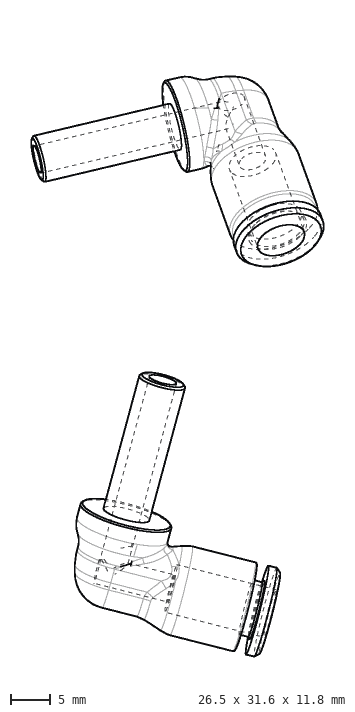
import cadquery as cq
import math


overall_length = 31.55

dome_radius = 4.5
dome_end_y = 1.1
taper_end_y = 0.1
sleeve_radius = 4.83
sleeve_start_y = -1.8
sleeve_end_y = -2.27
neck_bottom_y = -4.92

shoulder_radius = 11.8 / 2
shoulder_bend_y = -4.0
shoulder_rim_y = -5.8
shoulder_face_y = -7.82
shoulder_edge_chamfer = 0.22

body_radius = 11.5 / 2
flare_start_x = 5.0
flare_bend_x = 7.8
flare_bend_radius = 5.45
body_start_x = 9.1
body_end_x = 17.5
body_edge_fillet = 0.28

stem_radius = 5.95 / 2
stem_end_y = body_radius - overall_length
stem_chamfer = 0.28

collar_neck_radius = 7.1 / 2
collar_flare = 0.25
collar_start_x = 18.95
collar_end_x = 20.6
collar_chamfer_length = 0.57
collar_chamfer_depth = 0.5

passage_radius = 3.5 / 2
tube_radius = 6.15 / 2
tube_stop_x = flare_bend_x

flare_blend_radius = 3.0
shoulder_blend_radius = 0.63
shoulder_blend_start_x = 1.9

oversize = 63.1

tolerance = 0.015

dome_end_half_width = math.sqrt(dome_radius**2 - dome_end_y**2)
taper_slope = dome_end_y / dome_end_half_width
dome_end = (dome_end_half_width, dome_end_y)
taper_end = (dome_end_half_width + taper_slope * (dome_end_y - taper_end_y), taper_end_y)
sleeve_start = (sleeve_radius, sleeve_start_y)

bend_fraction = (shoulder_bend_y - sleeve_end_y) / (shoulder_rim_y - sleeve_end_y)
shoulder_bend_radius = sleeve_radius + bend_fraction * (shoulder_radius - sleeve_radius)


def turned_about_x(profile):
    return profile.close().revolve(360, (0, 0, 0), (1, 0, 0))


def turned_about_y(profile):
    return profile.close().revolve(360, (0, 0, 0), (0, 1, 0))


def elbow_side(plane):
    """Open outline of the elbow from the top of the dome down one side to the sleeve."""
    half_angle = (math.pi / 2 + math.atan2(dome_end_y, dome_end_half_width)) / 2
    dome_middle = (dome_radius * math.cos(half_angle), dome_radius * math.sin(half_angle))
    return (
        plane.moveTo(0, dome_radius)
        .threePointArc(dome_middle, dome_end)
        .lineTo(*taper_end)
        .tangentArcPoint(sleeve_start, relative=False)
    )


def make_dome_and_shoulder():
    """Dome, sleeve and shoulder, turned around the stem axis."""
    profile = (
        elbow_side(cq.Workplane("XY"))
        .lineTo(sleeve_radius, sleeve_end_y)
        .tangentArcPoint((shoulder_bend_radius, shoulder_bend_y), relative=False)
        .tangentArcPoint((shoulder_radius, shoulder_rim_y), relative=False)
        .lineTo(shoulder_radius, shoulder_face_y + shoulder_edge_chamfer)
        .lineTo(shoulder_radius - shoulder_edge_chamfer, shoulder_face_y)
        .lineTo(0, shoulder_face_y)
    )
    return turned_about_y(profile)


def make_neck():
    """Straight run of the elbow: its outline, closed below by a half ellipse, along +X."""
    section_plane = cq.Plane(origin=(0, 0, 0), xDir=(0, 0, -1), normal=(1, 0, 0))
    half = (
        elbow_side(cq.Workplane(section_plane))
        .ellipseArc(sleeve_radius, sleeve_start_y - neck_bottom_y, 270, 360, sense=-1)
        .close()
        .extrude(body_start_x)
    )
    return half.union(half.mirror("XY"))


def make_body():
    """Socket body and its conical flare, turned around the socket axis."""
    profile = (
        cq.Workplane("XY")
        .moveTo(flare_start_x, 0)
        .lineTo(flare_start_x, dome_radius)
        .lineTo(flare_bend_x, flare_bend_radius)
        .tangentArcPoint((body_start_x, body_radius), relative=False)
        .lineTo(body_end_x, body_radius)
        .lineTo(body_end_x, 0)
    )
    return turned_about_x(profile).faces(">X").edges().fillet(body_edge_fillet)


def make_collar():
    """Release collar: a slim neck that flares into a chamfered end disc."""
    profile = (
        cq.Workplane("XY")
        .moveTo(body_end_x, 0)
        .lineTo(body_end_x, collar_neck_radius)
        .lineTo(collar_start_x - collar_flare, collar_neck_radius)
        .lineTo(collar_start_x, collar_neck_radius + collar_flare)
        .lineTo(collar_start_x, body_radius)
        .lineTo(collar_end_x - collar_chamfer_length, body_radius)
        .lineTo(collar_end_x, body_radius - collar_chamfer_depth)
        .lineTo(collar_end_x, 0)
    )
    return turned_about_x(profile)


def make_stem():
    """Plain stem below the shoulder, chamfered at its tip."""
    stem = cq.Workplane("XZ", origin=(0, shoulder_face_y, 0)).circle(stem_radius)
    return stem.extrude(shoulder_face_y - stem_end_y).faces("<Y").edges().chamfer(stem_chamfer)


def blend_neck_into_flare(neck_and_body):
    """Fillet the seam that runs around the neck where it meets the cone."""
    seam = [
        edge
        for edge in neck_and_body.edges().vals()
        if edge.BoundingBox().xmin > flare_start_x - tolerance
        and edge.BoundingBox().xmax < flare_bend_x - tolerance
        and edge.geomType() != "LINE"
    ]
    return neck_and_body.newObject(seam).fillet(flare_blend_radius)


def is_shoulder_seam(edge):
    """True for the curves where the underside of the neck lands on the shoulder."""
    box = edge.BoundingBox()
    return (
        edge.geomType() == "BSPLINE"
        and box.xlen > tolerance
        and box.xmax < shoulder_radius
        and box.ymax < sleeve_end_y - tolerance
        and box.zmin * box.zmax > -tolerance
    )


def blend_neck_into_shoulder(elbow):
    """Fillet the shoulder seam, except near X = 0 where the two surfaces run tangent."""
    socket_side = cq.Workplane("XY").box(oversize, oversize, oversize)
    socket_side = socket_side.translate((shoulder_blend_start_x + oversize / 2, 0, 0))
    near_socket = elbow.intersect(socket_side)
    seam = [edge for edge in near_socket.edges().vals() if is_shoulder_seam(edge)]
    blended = near_socket.newObject(seam).fillet(shoulder_blend_radius)
    return elbow.cut(socket_side).union(blended)


def make_passages():
    """Stem passage, cross passage at the elbow, and the tube socket through the collar."""
    stem_passage = cq.Workplane("XZ").circle(passage_radius).extrude(-stem_end_y)
    cross_passage = (
        cq.Workplane("YZ", origin=(-passage_radius, 0, 0))
        .circle(passage_radius)
        .extrude(tube_stop_x + passage_radius)
    )
    tube_socket = (
        cq.Workplane("YZ", origin=(tube_stop_x, 0, 0))
        .circle(tube_radius)
        .extrude(collar_end_x - tube_stop_x)
    )
    return stem_passage.union(cross_passage).union(tube_socket)


plain_elbow = blend_neck_into_flare(make_neck().union(make_body())).union(make_dome_and_shoulder())
result = (
    blend_neck_into_shoulder(plain_elbow)
    .union(make_stem())
    .union(make_collar())
    .cut(make_passages())
)